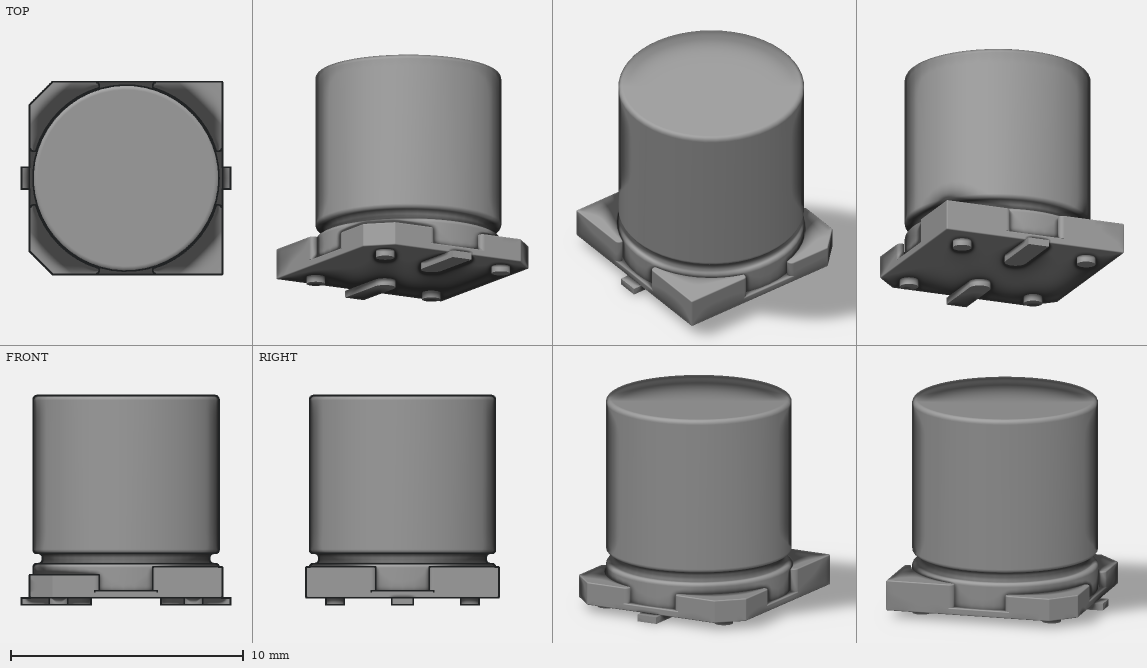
import cadquery as cq
import math


TOTAL_HEIGHT = 9.0
LEAD_SPAN = 9.0

BASE_SIZE = 8.3
BASE_HALF = BASE_SIZE / 2
BASE_BOTTOM_Z = 0.3
FLOOR_Z = 0.6
LOW_POST_TOP_Z = 1.3
HIGH_POST_TOP_Z = 1.63
CORNER_CUT = 1.0
EDGE_ROUND = 0.05
NOTCH_WIDTH = 2.3
POST_END_ROUND = 0.2

CAN_DIAMETER = 8.0
CAN_RADIUS = CAN_DIAMETER / 2
CAN_TOP_ROUND = 0.2
SEAT_CLEARANCE = 0.05
SEAT_RADIUS = CAN_RADIUS + SEAT_CLEARANCE

GROOVE_DIAMETER = 7.2
GROOVE_BOTTOM_Z = 1.6
GROOVE_HEIGHT = 0.78
GROOVE_ROUND = 0.17

LEAD_WIDTH = 0.94
LEAD_INNER_X = 1.5
FOOT_DIAMETER = 0.8
FOOT_OFFSET = 2.9


def make_can():
    """Revolved can with a rounded top edge and an S-shaped crimp groove."""
    groove_radius = GROOVE_DIAMETER / 2
    groove_top_z = GROOVE_BOTTOM_Z + GROOVE_HEIGHT
    lip_radius = CAN_RADIUS - GROOVE_ROUND
    throat_radius = groove_radius + GROOVE_ROUND
    lower_lip_z = GROOVE_BOTTOM_Z + GROOVE_ROUND
    upper_lip_z = groove_top_z - GROOVE_ROUND
    top_flat_radius = CAN_RADIUS - CAN_TOP_ROUND
    profile = (
        cq.Workplane("XZ")
        .moveTo(0, FLOOR_Z)
        .lineTo(CAN_RADIUS, FLOOR_Z)
        .lineTo(CAN_RADIUS, GROOVE_BOTTOM_Z)
        .radiusArc((lip_radius, lower_lip_z), -GROOVE_ROUND)
        .lineTo(throat_radius, lower_lip_z)
        .radiusArc((groove_radius, lower_lip_z + GROOVE_ROUND), GROOVE_ROUND)
        .lineTo(groove_radius, upper_lip_z - GROOVE_ROUND)
        .radiusArc((throat_radius, upper_lip_z), GROOVE_ROUND)
        .lineTo(lip_radius, upper_lip_z)
        .radiusArc((CAN_RADIUS, groove_top_z), -GROOVE_ROUND)
        .lineTo(CAN_RADIUS, TOTAL_HEIGHT - CAN_TOP_ROUND)
        .radiusArc((top_flat_radius, TOTAL_HEIGHT), -CAN_TOP_ROUND)
        .lineTo(0, TOTAL_HEIGHT)
        .close()
    )
    return profile.revolve(360, (0, 0, 0), (0, 1, 0))


def make_block(bottom_z, top_z):
    """Square block with the two -X corners cut off."""
    return (
        cq.Workplane("XY")
        .workplane(offset=bottom_z)
        .rect(BASE_SIZE, BASE_SIZE)
        .extrude(top_z - bottom_z)
        .edges("|Z and <X")
        .chamfer(CORNER_CUT)
        .edges("|Z")
        .fillet(EDGE_ROUND)
    )


def make_corner_posts():
    """Four posts around the can seat, with rounded ends and rounded top edges."""
    posts = make_block(FLOOR_Z, HIGH_POST_TOP_Z)
    post_height = HIGH_POST_TOP_Z - FLOOR_Z
    cutter = cq.Workplane("XY").workplane(offset=FLOOR_Z)
    posts = posts.cut(cutter.circle(SEAT_RADIUS).extrude(post_height))
    posts = posts.cut(cutter.rect(NOTCH_WIDTH, BASE_SIZE).extrude(post_height))
    posts = posts.cut(cutter.rect(BASE_SIZE, NOTCH_WIDTH).extrude(post_height))
    low_side = (
        cq.Workplane("XY")
        .workplane(offset=LOW_POST_TOP_Z)
        .center(-BASE_HALF / 2, 0)
        .rect(BASE_HALF, BASE_SIZE)
        .extrude(HIGH_POST_TOP_Z - LOW_POST_TOP_Z)
    )
    posts = posts.cut(low_side)

    half_notch = NOTCH_WIDTH / 2
    seat_reach = math.sqrt(SEAT_RADIUS**2 - half_notch**2)
    for reach, radius in ((BASE_HALF, POST_END_ROUND), (seat_reach, EDGE_ROUND)):
        for sign_x in (-1, 1):
            for sign_y in (-1, 1):
                for x, y in ((half_notch, reach), (reach, half_notch)):
                    corner = (sign_x * x, sign_y * y, FLOOR_Z + EDGE_ROUND)
                    nearest = cq.selectors.NearestToPointSelector(corner)
                    posts = posts.edges("|Z").edges(nearest).fillet(radius)
    return posts.faces("+Z").edges().fillet(EDGE_ROUND)


def make_edge_cutter():
    """Bar that rounds the plate's upper +Y edge between two posts."""
    length = NOTCH_WIDTH + 2 * POST_END_ROUND
    return (
        cq.Workplane("YZ")
        .workplane(offset=-length / 2)
        .moveTo(BASE_HALF, FLOOR_Z - EDGE_ROUND)
        .radiusArc((BASE_HALF - EDGE_ROUND, FLOOR_Z), -EDGE_ROUND)
        .lineTo(BASE_HALF, FLOOR_Z)
        .close()
        .extrude(length)
    )


def make_base():
    """Thin plate with rounded edges, carrying the corner posts."""
    plate = make_block(BASE_BOTTOM_Z, FLOOR_Z).faces("<Z").edges().fillet(EDGE_ROUND)
    edge_cutter = make_edge_cutter()
    for angle in (0, 90, 180, 270):
        plate = plate.cut(edge_cutter.rotate((0, 0, 0), (0, 0, 1), angle))
    return plate.union(make_corner_posts())


def make_lead(side):
    """Flat lead on the +X (side = 1) or -X (side = -1) end, rounded at its inner end."""
    end_radius = LEAD_WIDTH / 2
    outer_x = side * LEAD_SPAN / 2
    arc_start_x = side * (LEAD_INNER_X + end_radius)
    return (
        cq.Workplane("XY")
        .moveTo(outer_x, -end_radius)
        .lineTo(arc_start_x, -end_radius)
        .threePointArc((side * LEAD_INNER_X, 0), (arc_start_x, end_radius))
        .lineTo(outer_x, end_radius)
        .close()
        .extrude(BASE_BOTTOM_Z)
    )


def make_feet():
    """Four round stand-off feet under the base."""
    return (
        cq.Workplane("XY")
        .rarray(2 * FOOT_OFFSET, 2 * FOOT_OFFSET, 2, 2)
        .circle(FOOT_DIAMETER / 2)
        .extrude(BASE_BOTTOM_Z)
    )


result = make_base().union(make_can()).union(make_feet())
for lead_side in (-1, 1):
    result = result.union(make_lead(lead_side))